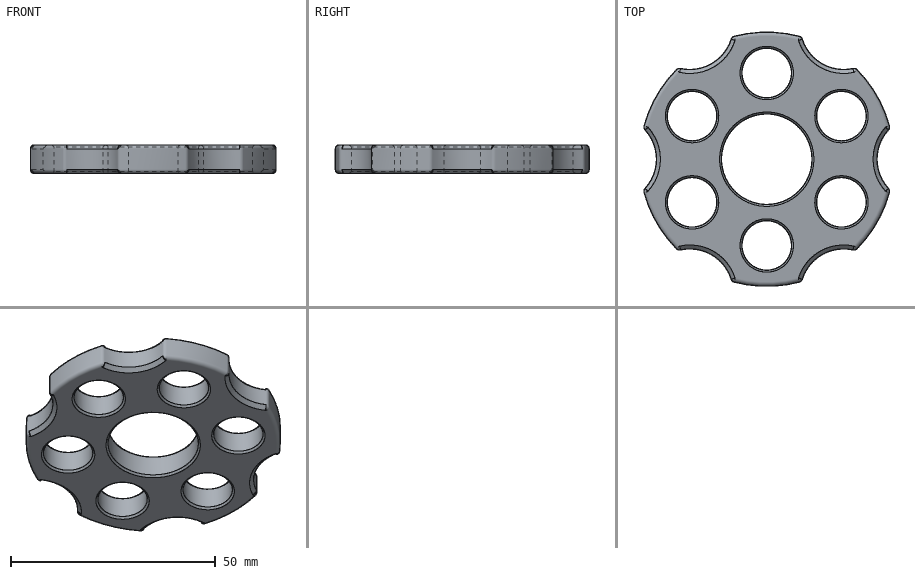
import math

import cadquery as cq

outer_diameter = 62.0
thickness = 7.0
face_edge_size = 1.0

notch_count = 6
notch_circle_radius = 37.45
notch_radius = 10.55
corner_radius = 1.05

bore_diameter = 22.0
small_hole_diameter = 12.0
small_hole_circle_radius = 21.0
hole_chamfer = 0.5

outer_radius = outer_diameter / 2
pitch_angle = 360 / notch_count

axis_to_corner = outer_radius - corner_radius
notch_to_corner = notch_radius + corner_radius
notch_half_angle = math.degrees(math.acos(
    (notch_circle_radius**2 + notch_to_corner**2 - axis_to_corner**2)
    / (2 * notch_circle_radius * notch_to_corner)
))


def notched_disc():
    """Disc with notches in its rim, rounded at the notch corners and around both faces."""
    notches = (
        cq.Workplane("XY")
        .polarArray(notch_circle_radius, 0, 360, notch_count)
        .circle(notch_radius)
        .extrude(thickness)
    )
    disc = cq.Workplane("XY").circle(outer_radius).extrude(thickness).cut(notches)
    disc = disc.edges("|Z").fillet(corner_radius)
    return disc.faces("<Z or >Z").edges().fillet(face_edge_size)


def flared_cutter(radius, chamfer, angle=360):
    """Through cutter about the Z axis, starting at +X, that flares by the chamfer at both faces."""
    profile = (
        cq.Workplane("XZ")
        .lineTo(radius + chamfer, 0)
        .lineTo(radius, chamfer)
        .lineTo(radius, thickness - chamfer)
        .lineTo(radius + chamfer, thickness)
        .lineTo(0, thickness)
        .close()
    )
    return profile.revolve(angle, (0, 0, 0), (0, 1, 0))


def turned(cutter, angle):
    """Turn a cutter about the disc axis by an angle in degrees."""
    return cutter.rotate((0, 0, 0), (0, 0, 1), angle)


result = notched_disc().cut(flared_cutter(bore_diameter / 2, hole_chamfer))

notch_sector = flared_cutter(notch_radius, face_edge_size, 2 * notch_half_angle)
notch_sector = turned(notch_sector, 180 - notch_half_angle).translate((notch_circle_radius, 0, 0))

small_hole = flared_cutter(small_hole_diameter / 2, hole_chamfer)
small_hole = small_hole.translate((small_hole_circle_radius, 0, 0))

for index in range(notch_count):
    notch_angle = index * pitch_angle
    result = result.cut(turned(notch_sector, notch_angle))
    result = result.cut(turned(small_hole, notch_angle + pitch_angle / 2))